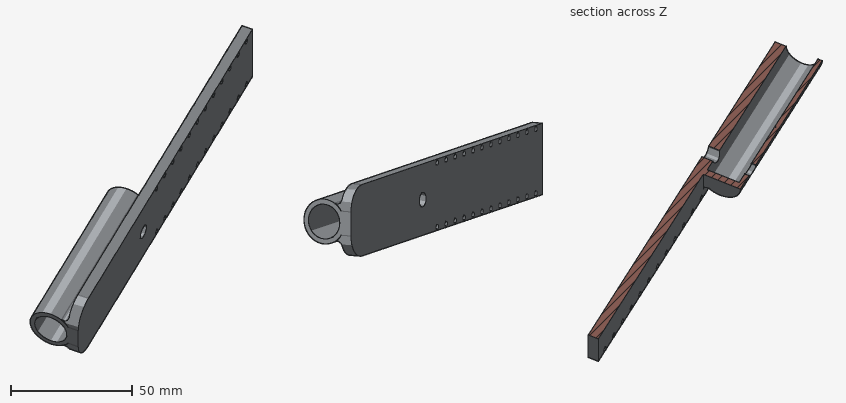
import cadquery as cq
import math

length = 171.0
plate_height = 30.0
overall_width = 21.9
plate_thickness = 4.8
corner_radius = 10.0

tube_diameter = 18.8
tube_length = 75.0
bore_diameter = 14.5
end_wall = 3.0
root_fillet = 1.9

cross_hole_diameter = 6.0
cross_hole_y = 64.0

small_hole_diameter = 2.0
small_hole_count = 12
small_hole_row_span = 88.0
small_hole_end_distance = 6.0
small_hole_edge_distance = 1.5

tube_radius = tube_diameter / 2
plate_outer_x = overall_width - tube_radius
plate_inner_x = plate_outer_x - plate_thickness


def cylinder_y(diameter, depth):
    """Cylinder on the tube axis, from Y = 0 toward +Y."""
    return cq.Workplane("XZ").circle(diameter / 2).extrude(-depth)


def holes_x(points, diameter):
    """Cutters along X through the whole part at the given (Y, Z) points."""
    start = cq.Workplane("YZ").workplane(offset=-tube_radius)
    return start.pushPoints(points).circle(diameter / 2).extrude(overall_width)


def rounded_slab(start_x, thickness):
    """Plate outline, rounded at the Y = 0 end, extruded toward +X."""
    return (
        cq.Workplane("YZ")
        .workplane(offset=start_x)
        .center(length / 2, 0)
        .rect(length, plate_height)
        .extrude(thickness)
        .edges("|X and <Y")
        .fillet(corner_radius)
    )


def tube_web():
    """Web from the tube to the plate, with concave fillets tangent to both."""
    center_x = plate_inner_x - root_fillet
    center_distance = tube_radius + root_fillet
    center_z = math.sqrt(center_distance**2 - center_x**2)
    tangent_x = center_x * tube_radius / center_distance
    tangent_z = center_z * tube_radius / center_distance

    tube_direction = math.atan2(-center_z, -center_x)
    middle_direction = tube_direction / 2
    middle_x = center_x + root_fillet * math.cos(middle_direction)
    middle_z = center_z + root_fillet * math.sin(middle_direction)

    web = (
        cq.Workplane("XZ")
        .moveTo(0, -tangent_z)
        .lineTo(tangent_x, -tangent_z)
        .threePointArc((middle_x, -middle_z), (plate_inner_x, -center_z))
        .lineTo(plate_outer_x, -center_z)
        .lineTo(plate_outer_x, center_z)
        .lineTo(plate_inner_x, center_z)
        .threePointArc((middle_x, middle_z), (tangent_x, tangent_z))
        .lineTo(0, tangent_z)
        .close()
        .extrude(-tube_length)
    )
    return web.intersect(rounded_slab(0, plate_outer_x))


plate = rounded_slab(plate_inner_x, plate_thickness)
tube = cylinder_y(tube_diameter, tube_length)
bore = cylinder_y(bore_diameter, tube_length - end_wall)

small_hole_pitch = small_hole_row_span / (small_hole_count - 1)
row_z = plate_height / 2 - small_hole_edge_distance
last_hole_y = length - small_hole_end_distance
small_hole_points = [
    (last_hole_y - index * small_hole_pitch, side * row_z)
    for index in range(small_hole_count)
    for side in (-1, 1)
]

body = plate.union(tube).union(tube_web()).cut(bore)
body = body.cut(holes_x([(cross_hole_y, 0)], cross_hole_diameter))
result = body.cut(holes_x(small_hole_points, small_hole_diameter))